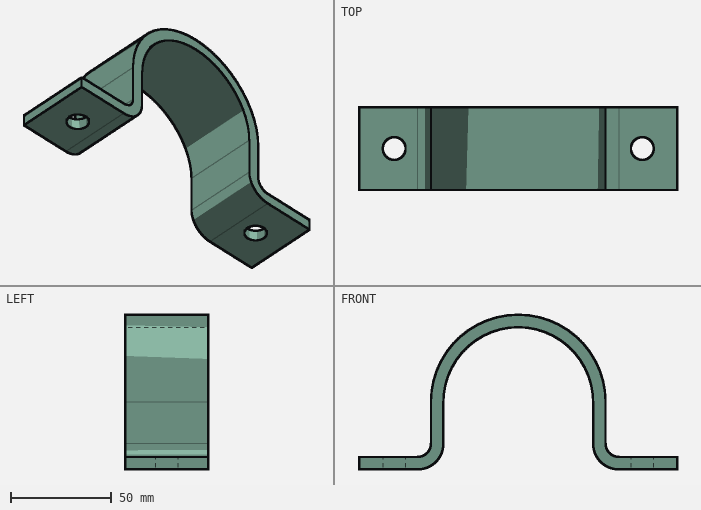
import cadquery as cq

length = 158.0
width = 41.2
height = 77.0
thickness = 6.3
saddle_radius = 37.1
bend_radius = 6.5
hole_diameter = 11.2
hole_edge_distance = 17.4

half_length = length / 2
outer_radius = saddle_radius + thickness
saddle_center_z = height - outer_radius
hole_x = half_length - hole_edge_distance


def strap():
    """Bent strap with its feet on Z = 0, centred on X and Y."""
    bend_outer_radius = bend_radius + thickness
    bend_x = outer_radius + bend_radius
    bend_z = bend_outer_radius
    profile = (
        cq.Workplane("XZ")
        .moveTo(-half_length, 0)
        .lineTo(-bend_x, 0)
        .radiusArc((-saddle_radius, bend_z), -bend_outer_radius)
        .lineTo(-saddle_radius, saddle_center_z)
        .threePointArc((0, height - thickness), (saddle_radius, saddle_center_z))
        .lineTo(saddle_radius, bend_z)
        .radiusArc((bend_x, 0), -bend_outer_radius)
        .lineTo(half_length, 0)
        .lineTo(half_length, thickness)
        .lineTo(bend_x, thickness)
        .radiusArc((outer_radius, bend_z), bend_radius)
        .lineTo(outer_radius, saddle_center_z)
        .threePointArc((0, height), (-outer_radius, saddle_center_z))
        .lineTo(-outer_radius, bend_z)
        .radiusArc((-bend_x, thickness), bend_radius)
        .lineTo(-half_length, thickness)
        .close()
    )
    return profile.extrude(width / 2, both=True)


def foot_holes():
    """One vertical cutter through each foot."""
    return (
        cq.Workplane("XY")
        .pushPoints([(-hole_x, 0), (hole_x, 0)])
        .circle(hole_diameter / 2)
        .extrude(thickness)
    )


result = strap().cut(foot_holes())